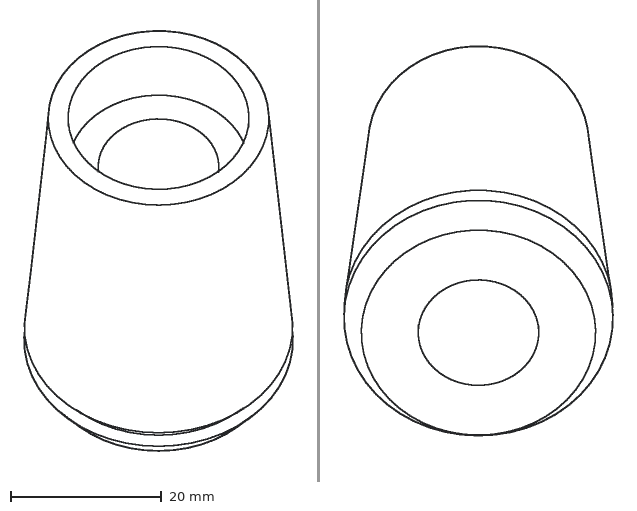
import cadquery as cq
import math

total_height = 52.0
max_diameter = 35.72

flange_height = 4.0
flange_half_angle = 30.0

groove_width = 2.85
groove_radius = 16.0

body_top_radius = 14.65
body_half_angle = 4.0

hole_radius = 8.0
counterbore_radius = 12.0
counterbore_depth = 10.5

max_radius = max_diameter / 2
flange_bottom_radius = max_radius - flange_height * math.tan(math.radians(flange_half_angle))
body_bottom_z = flange_height + groove_width
body_height = total_height - body_bottom_z
body_bottom_radius = body_top_radius + body_height * math.tan(math.radians(body_half_angle))
counterbore_floor_z = total_height - counterbore_depth


def collet_body():
    """Solid of revolution about Z: flange, groove and tapered body."""
    profile = [
        (0, 0),
        (-flange_bottom_radius, 0),
        (-max_radius, flange_height),
        (-groove_radius, flange_height),
        (-groove_radius, body_bottom_z),
        (-body_bottom_radius, body_bottom_z),
        (-body_top_radius, total_height),
        (0, total_height),
    ]
    return cq.Workplane("YZ").polyline(profile).close().revolve(360, (0, 0), (0, 1))


def stepped_bore():
    """Through hole plus the counterbore open at the top face."""
    hole = cq.Workplane("XY").circle(hole_radius).extrude(total_height)
    counterbore = (
        cq.Workplane("XY")
        .workplane(offset=counterbore_floor_z)
        .circle(counterbore_radius)
        .extrude(counterbore_depth)
    )
    return hole.union(counterbore)


result = collet_body().cut(stepped_bore())